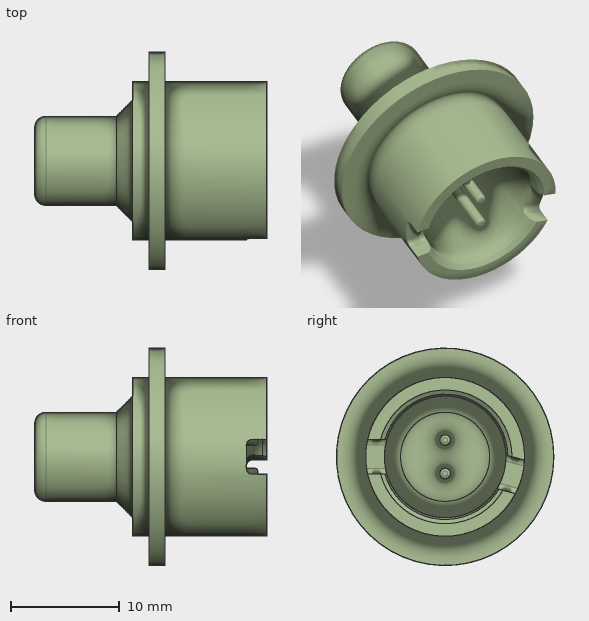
import cadquery as cq

LENGTH = 21.33

STEM_RADIUS = 4.1
STEM_TIP_FILLET = 1.05
PIN_RADIUS = 0.5
PIN_OFFSET = 1.54
PIN_SETBACK = 0.83
PIN_TIP_FILLET = 0.25

STEP = 1.5
CONE_START = 7.5
COLLAR_START = CONE_START + STEP
BARREL_RADIUS = 7.3
CONE_END_RADIUS = STEM_RADIUS + STEP

RING_DIAMETER = 19.99
RING_START = COLLAR_START + STEP
RING_END = RING_START + STEP

SOCKET_FLOOR = RING_END
SOCKET_RADIUS = 5.59
FLARE_RADIUS = 5.75
FLARE_LENGTH = 1.2
RIM_CHAMFER = 0.38
RIM_RADIUS = FLARE_RADIUS + RIM_CHAMFER

SLOT_WIDTH = 3.2
SLOT_DEPTH = 1.88
SLOT_CORNER_RADIUS = 0.53
SLOT_ANGLES = (0.0, 165.0)


def rod(start, end, radius):
    """Solid cylinder along X."""
    return cq.Workplane("YZ", origin=(start, 0, 0)).circle(radius).extrude(end - start)


def key_slot(angle):
    """Cutter for one slot, open at the rim and rounded at its two inner corners."""
    cutter = (
        cq.Workplane("XY")
        .box(2 * SLOT_DEPTH, BARREL_RADIUS, SLOT_WIDTH)
        .edges("|Y")
        .fillet(SLOT_CORNER_RADIUS)
        .translate((LENGTH, -(SOCKET_RADIUS + BARREL_RADIUS) / 2, 0))
    )
    return cutter.rotate((0, 0, 0), (1, 0, 0), angle)


def make_housing():
    """Barrel with a conical nose, a stem hole and a slotted socket."""
    profile = [
        (CONE_START, STEM_RADIUS),
        (COLLAR_START, CONE_END_RADIUS),
        (COLLAR_START, BARREL_RADIUS),
        (LENGTH, BARREL_RADIUS),
        (LENGTH, RIM_RADIUS),
        (LENGTH - RIM_CHAMFER, FLARE_RADIUS),
        (LENGTH - FLARE_LENGTH, SOCKET_RADIUS),
        (SOCKET_FLOOR, SOCKET_RADIUS),
        (SOCKET_FLOOR, STEM_RADIUS),
    ]
    housing = cq.Workplane("XY").polyline(profile).close().revolve(360, (0, 0, 0), (1, 0, 0))
    for angle in SLOT_ANGLES:
        housing = housing.cut(key_slot(angle))
    return housing


def make_flange_ring():
    """Flat ring around the barrel."""
    return rod(RING_START, RING_END, RING_DIAMETER / 2).cut(rod(RING_START, RING_END, BARREL_RADIUS))


def make_stem():
    """Round stem, flush with the socket floor, carrying two contact pins."""
    stem = rod(0, SOCKET_FLOOR, STEM_RADIUS).faces("<X").edges().fillet(STEM_TIP_FILLET)
    pin = rod(SOCKET_FLOOR, LENGTH - PIN_SETBACK, PIN_RADIUS).faces(">X").edges().fillet(PIN_TIP_FILLET)
    for side in (-1, 1):
        stem = stem.union(pin.translate((0, 0, side * PIN_OFFSET)))
    return stem


housing = make_housing()
flange_ring = make_flange_ring()
stem = make_stem()

result = cq.Compound.makeCompound([housing.val(), flange_ring.val(), stem.val()])